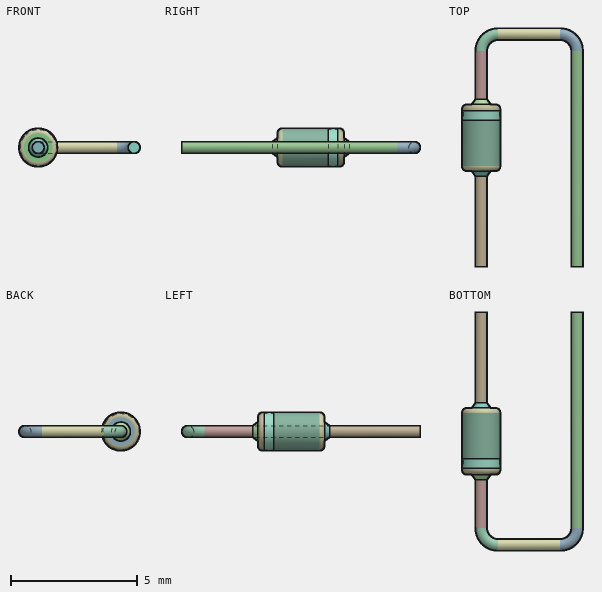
import cadquery as cq

body_diameter = 1.53
body_length = 2.64
edge_radius = 0.2
collar_length = 0.2
collar_base_radius = 0.38

wire_diameter = 0.47
lead_tip_y = -5.11
overall_length = 9.44
overall_width = 4.8
bend_radius = 0.67

band_end_gap = 0.255
band_width = 0.37
band_depth = 0.05

body_radius = body_diameter / 2
wire_radius = wire_diameter / 2
body_end_y = body_length / 2
collar_tip_y = body_end_y + collar_length
band_max_y = body_end_y - band_end_gap
band_min_y = band_max_y - band_width
crossbar_y = lead_tip_y + overall_length - wire_radius
return_lead_x = overall_width - body_radius - wire_radius


def circle_at_y(y, radius):
    """Circle about the Y axis, where a negative extrusion runs toward +Y."""
    return cq.Workplane("XZ", origin=(0, y, 0)).circle(radius)


def make_band():
    """Cathode band: a thin ring flush with the body surface."""
    return circle_at_y(band_min_y, body_radius).circle(body_radius - band_depth).extrude(-band_width)


def make_housing(band):
    """Rounded cylinder with tapered collars and a groove for the band."""
    cylinder = circle_at_y(-body_end_y, body_radius).extrude(-body_length)
    rounded = cylinder.faces("<Y or >Y").edges().fillet(edge_radius)
    collars = (
        cq.Workplane("XY")
        .moveTo(0, -collar_tip_y)
        .lineTo(wire_radius, -collar_tip_y)
        .lineTo(collar_base_radius, -body_end_y)
        .lineTo(collar_base_radius, body_end_y)
        .lineTo(wire_radius, collar_tip_y)
        .lineTo(0, collar_tip_y)
        .close()
        .revolve(360, (0, 0), (0, 1))
    )
    return rounded.union(collars).cut(band).solids()


def make_straight_lead():
    """Wire from the -Y collar to the lead tip plane."""
    return circle_at_y(lead_tip_y, wire_radius).extrude(collar_tip_y + lead_tip_y)


def make_bent_lead():
    """Wire from the +Y collar, bent twice to return beside the body."""
    bend_start_y = crossbar_y - bend_radius
    path = (
        cq.Workplane("XY")
        .moveTo(0, collar_tip_y)
        .lineTo(0, bend_start_y)
        .tangentArcPoint((bend_radius, crossbar_y), relative=False)
        .lineTo(return_lead_x - bend_radius, crossbar_y)
        .tangentArcPoint((return_lead_x, bend_start_y), relative=False)
        .lineTo(return_lead_x, lead_tip_y)
    )
    return circle_at_y(collar_tip_y, wire_radius).sweep(path)


cathode_band = make_band()
housing = make_housing(cathode_band)
straight_lead = make_straight_lead()
bent_lead = make_bent_lead()

result = cq.Compound.makeCompound(
    [housing.val(), cathode_band.val(), straight_lead.val(), bent_lead.val()]
)